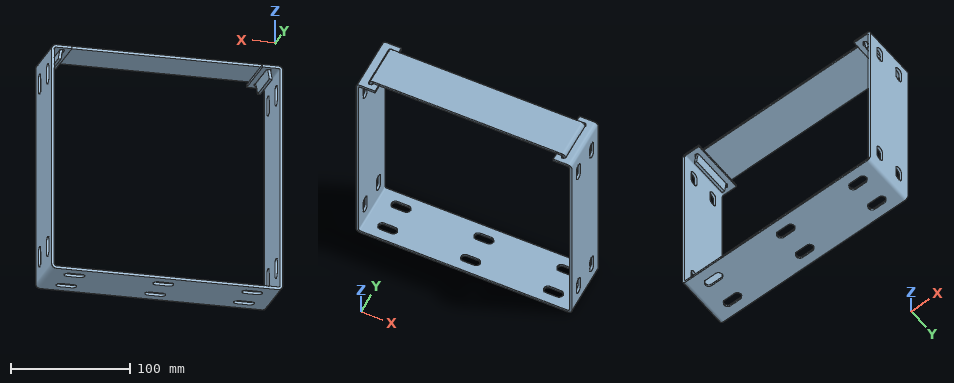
import cadquery as cq
import math

frame_width = 200.8
total_height = 202.5
frame_depth = 50.8
sheet = 2.5
frame_height = total_height - sheet
half_width = frame_width / 2

corner_outer = 4.0
corner_inner = corner_outer - sheet
tab_length = 17.6

slot_length = 17.6
slot_width = 7.3
slot_row_spacing = 25.5
slot_pitch = 77.1
wall_slot_middle = 100.8

strap_depth = 37.7
bend_outer = 3.6
bend_inner = bend_outer - sheet
strap_bend_inset = 12.8
hook_bend_angle = 80.0
hook_drop = 12.5
bend_center_x = half_width - strap_bend_inset
bend_center_z = total_height - bend_outer

hook_slot_width = 4.0
hook_slot_x = bend_center_x + hook_slot_width / 2
hook_slot_length = strap_depth + hook_slot_width


def make_frame_blank():
    """Square loop of bent sheet, open at the top between the two tabs."""
    middle_z = frame_height / 2
    outer = (
        cq.Workplane("XY")
        .box(frame_width, frame_depth, frame_height)
        .edges("|Y")
        .fillet(corner_outer)
    )
    inner = (
        cq.Workplane("XY")
        .box(frame_width - 2 * sheet, frame_depth, frame_height - 2 * sheet)
        .edges("|Y")
        .fillet(corner_inner)
    )
    opening = cq.Workplane("XY").box(
        frame_width - 2 * tab_length, frame_depth, 2 * sheet
    ).translate((0, 0, middle_z))
    return outer.cut(inner).cut(opening).translate((0, 0, middle_z))


def make_wall_slots():
    """Upright slots that run through both side walls."""
    return (
        cq.Workplane("YZ", origin=(0, 0, wall_slot_middle))
        .rarray(slot_row_spacing, 2 * slot_pitch, 2, 2)
        .slot2D(slot_length, slot_width, 90)
        .extrude(half_width, both=True)
    )


def make_floor_slots():
    """Three pairs of slots through the floor, running along X."""
    return (
        cq.Workplane("XY")
        .rarray(slot_pitch, slot_row_spacing, 3, 2)
        .slot2D(slot_length, slot_width)
        .extrude(sheet)
    )


def make_hook_slots():
    """One slot along Y through each tab."""
    return (
        cq.Workplane("XY", origin=(0, 0, frame_height - sheet))
        .pushPoints([(-hook_slot_x, 0), (hook_slot_x, 0)])
        .slot2D(hook_slot_length, hook_slot_width, 90)
        .extrude(sheet)
    )


def make_frame():
    return make_frame_blank().cut(make_wall_slots()).cut(make_floor_slots()).cut(make_hook_slots())


def bend_point(radius, angle):
    """Point on the right-hand bend, `angle` degrees round from its top."""
    turn = math.radians(angle)
    return (bend_center_x + radius * math.sin(turn), bend_center_z + radius * math.cos(turn))


def leg_tip(radius):
    """End of the straight leg that continues the bend of this radius."""
    bend_end_x, bend_end_z = bend_point(radius, hook_bend_angle)
    tip_z = total_height - hook_drop
    splay = (bend_end_z - tip_z) / math.tan(math.radians(hook_bend_angle))
    return (bend_end_x + splay, tip_z)


def make_strap():
    """Flat strap with a splayed hook at each end."""
    half_bend = hook_bend_angle / 2
    half_profile = (
        cq.Workplane("XZ")
        .moveTo(0, total_height)
        .lineTo(*bend_point(bend_outer, 0))
        .threePointArc(bend_point(bend_outer, half_bend), bend_point(bend_outer, hook_bend_angle))
        .lineTo(*leg_tip(bend_outer))
        .lineTo(*leg_tip(bend_inner))
        .lineTo(*bend_point(bend_inner, hook_bend_angle))
        .threePointArc(bend_point(bend_inner, half_bend), bend_point(bend_inner, 0))
        .lineTo(0, frame_height)
        .close()
    )
    right_half = half_profile.extrude(strap_depth / 2, both=True)
    return right_half.union(right_half.mirror("YZ")).clean()


frame = make_frame()
strap = make_strap()
result = cq.Compound.makeCompound([frame.val(), strap.val()])